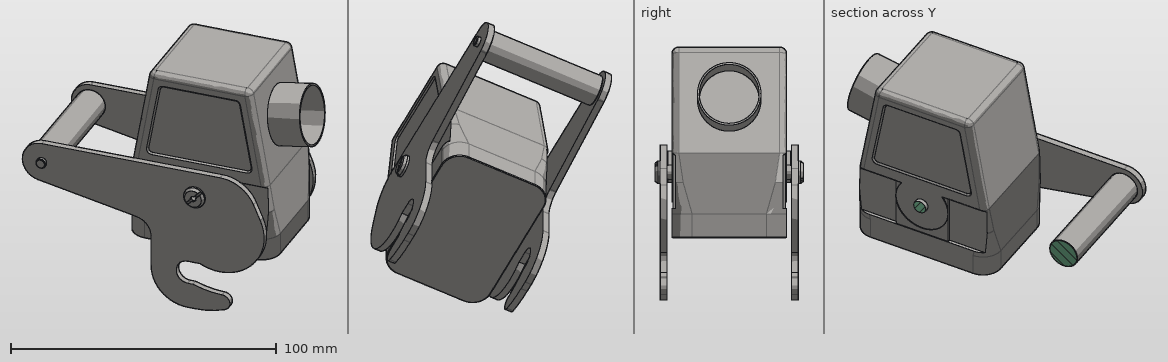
import cadquery as cq
import math


base_length = 59.7
waist_length = 55.4
crown_length = 41.3
hood_width = 43.2
base_bottom_z = -24.7
base_top_z = -15.7
shoulder_z = -3.9
waist_z = 7.2
crown_z = 47.1
base_corner_radius = 7.7
shoulder_corner_radius = 4.3
upper_corner_radius = 2.6
crown_round = 2.5
bottom_chamfer = 0.3

entry_diameter = 24.0
entry_bore_diameter = 22.5
entry_length = 13.9
entry_root_depth = 5.5
entry_mouth_x = 37.2
entry_mouth_z = 29.5
entry_tilt = math.degrees(math.atan2((waist_length - crown_length) / 2, crown_z - waist_z))

panel_top_z = 42.2
panel_bottom_z = 11.9
panel_top_length = 32.8
panel_bottom_length = 43.7
panel_depth = 0.7
panel_wall_angle = 45.0
panel_corner_radius = 2.2

recess_depth = 1.3
recess_bottom_z = -13.6
recess_draft_rise = 0.9
pad_height = 1.0
pivot_boss_diameter = 22.5

shank_diameter = 5.4
head_diameter = 8.5
screw_tip_y = 28.0
head_bevel_rise = 1.1
head_bevel_inset = 0.9
slot_width = 0.9
slot_depth = 1.0
slot_angle = 45.0
center_mark_diameter = 2.2
center_mark_depth = 1.1

plate_inner_y = 23.4
plate_thickness = 2.6
plate_outer_y = plate_inner_y + plate_thickness
pivot_hole_diameter = 5.6

handle_x = -62.1
handle_z = 2.1
handle_diameter = 12.0
handle_end_chamfer = 0.3
rivet_diameter = 3.9
rivet_tip_y = 27.5
rivet_chamfer = 0.3

handle_end_radius = 8.0
crest_x, crest_z, crest_radius = 10.3, -4.5, 14.8
belly_x, belly_z, belly_radius = 10.1, -12.1, 18.0
arm_slope = 10.8
hook_back_x = -17.8
elbow_radius = 7.2
hook_bottom_z = -48.1
heel_radius = 14.9
sole_radius = 33.9
sole_x = 0.4
tip_radius = 3.2
tip_x = 11.0
throat_x, throat_z, throat_radius = -2.8, -33.0, 4.7
throat_ramp_x = -0.8
throat_ramp_sag = 0.49


def rounded_section(section_z, length, corner_radius):
    """Horizontal outline of the hood at one height."""
    outline = cq.Sketch().rect(length, hood_width).vertices().fillet(corner_radius)
    return outline.moved(cq.Location(cq.Vector(0, 0, section_z)))


def hood_length_at(section_z):
    """Length of the tapered skirt between the base and the waist."""
    rise_fraction = (section_z - base_top_z) / (waist_z - base_top_z)
    return base_length + rise_fraction * (waist_length - base_length)


def hood_shell():
    base = cq.Workplane("XY").placeSketch(rounded_section(base_bottom_z, base_length, base_corner_radius))
    shell = base.extrude(base_top_z - base_bottom_z).faces("<Z").chamfer(bottom_chamfer)

    base_top = rounded_section(base_top_z, base_length, base_corner_radius)
    shoulder = rounded_section(shoulder_z, hood_length_at(shoulder_z), shoulder_corner_radius)
    waist = rounded_section(waist_z, waist_length, upper_corner_radius)
    crown = rounded_section(crown_z, crown_length, upper_corner_radius)
    for lower, upper in ((base_top, shoulder), (shoulder, waist)):
        shell = shell.union(cq.Workplane("XY").placeSketch(lower, upper).loft(ruled=True))
    top = cq.Workplane("XY").placeSketch(waist, crown).loft(ruled=True)
    return shell.union(top.faces(">Z").edges().fillet(crown_round))


def entry_plane():
    tilt = math.radians(entry_tilt)
    outward = (math.cos(tilt), 0, math.sin(tilt))
    return cq.Plane(origin=(entry_mouth_x, 0, entry_mouth_z), xDir=(0, 1, 0), normal=outward)


def entry_cylinder(diameter, length):
    return cq.Workplane(entry_plane()).circle(diameter / 2).extrude(-length)


def label_panel():
    """Pocket cutter on the -Y side, its walls sloping in towards the floor."""
    outline = (
        cq.Sketch()
        .polygon(
            [
                (-panel_bottom_length / 2, panel_bottom_z),
                (panel_bottom_length / 2, panel_bottom_z),
                (panel_top_length / 2, panel_top_z),
                (-panel_top_length / 2, panel_top_z),
                (-panel_bottom_length / 2, panel_bottom_z),
            ]
        )
        .vertices()
        .fillet(panel_corner_radius)
    )
    side = cq.Workplane("XZ", origin=(0, -hood_width / 2, 0))
    return side.placeSketch(outline).extrude(-panel_depth, taper=panel_wall_angle)


def lever_recess():
    """Cutter on the -Y side: a full-length recess with a sloping upper edge.

    A low rectangular pad stays in its middle, with the round pivot boss standing up to the hood side.
    """
    outer_y = -hood_width / 2
    floor_y = outer_y + recess_depth
    recess = (
        cq.Workplane("YZ", origin=(-base_length / 2, 0, 0))
        .moveTo(outer_y, recess_bottom_z)
        .lineTo(floor_y, recess_bottom_z)
        .lineTo(floor_y, waist_z - recess_draft_rise)
        .lineTo(outer_y, waist_z)
        .close()
        .extrude(base_length)
    )
    pad_center = (0, floor_y - pad_height / 2, (recess_bottom_z + waist_z) / 2)
    pad = cq.Workplane("XY", origin=pad_center).box(
        pivot_boss_diameter, pad_height, waist_z - recess_bottom_z
    )
    boss = cq.Workplane("XZ", origin=(0, outer_y, 0)).circle(pivot_boss_diameter / 2).extrude(-recess_depth)
    return recess.cut(pad).cut(boss)


def pivot_screw():
    """Slotted screw on the -Y side, its head against the lever plate."""
    shank = cq.Workplane("XZ", origin=(0, -hood_width / 2, 0)).circle(shank_diameter / 2)
    shank = shank.extrude(plate_outer_y - hood_width / 2)
    head = (
        cq.Workplane("XZ", origin=(0, -plate_outer_y, 0))
        .circle(head_diameter / 2)
        .extrude(screw_tip_y - plate_outer_y)
    )
    head = head.faces("<Y").chamfer(head_bevel_rise, head_bevel_inset)
    tip = cq.Workplane("XZ", origin=(0, -screw_tip_y, 0))
    slot = tip.transformed(rotate=(0, 0, slot_angle)).rect(head_diameter, slot_width).extrude(-slot_depth)
    mark = tip.circle(center_mark_diameter / 2).extrude(-slot_depth)
    mark_point = cq.Workplane(
        cq.Solid.makeCone(
            center_mark_diameter / 2,
            0,
            center_mark_depth,
            pnt=cq.Vector(0, slot_depth - screw_tip_y, 0),
            dir=cq.Vector(0, 1, 0),
        )
    )
    return shank.union(head).cut(slot).cut(mark).cut(mark_point)


def build_hood():
    hood = hood_shell()
    hood = hood.union(entry_cylinder(entry_diameter, entry_length + entry_root_depth))
    hood = hood.cut(entry_cylinder(entry_bore_diameter, entry_length))
    for turn in (0, 180):
        hood = hood.cut(label_panel().rotate((0, 0, 0), (0, 0, 1), turn))
        hood = hood.cut(lever_recess().rotate((0, 0, 0), (0, 0, 1), turn))
        hood = hood.union(pivot_screw().rotate((0, 0, 0), (0, 0, 1), turn))
    return hood


def on_circle(x, z, radius, degrees):
    angle = math.radians(degrees)
    return (x + radius * math.cos(angle), z + radius * math.sin(angle))


def tangent_normal(x1, z1, r1, x2, z2, r2):
    """Direction, in degrees, of the outward normal of the line touching two circles, running
    clockwise from the first to the second."""
    heading = math.degrees(math.atan2(z2 - z1, x2 - x1))
    return heading + math.degrees(math.acos((r1 - r2) / math.hypot(x2 - x1, z2 - z1)))


def lever_outline():
    end = (handle_x, handle_z, handle_end_radius)
    crest = (crest_x, crest_z, crest_radius)
    belly = (belly_x, belly_z, belly_radius)
    top_normal = tangent_normal(*end, *crest)
    nose_normal = tangent_normal(*crest, *belly)

    lip_z = throat_z + throat_radius
    belly_end = -180 - math.degrees(math.asin((lip_z - belly_z) / belly_radius))
    belly_mid = (nose_normal + belly_end) / 2

    sole_z = hook_bottom_z + sole_radius
    tip_z = sole_z - math.sqrt((sole_radius - tip_radius) ** 2 - (tip_x - sole_x) ** 2)
    sole_end = math.degrees(math.atan2(tip_z - sole_z, tip_x - sole_x))
    heel_x = hook_back_x + heel_radius
    heel_z = hook_bottom_z + heel_radius
    ramp_start = (throat_ramp_x, throat_z - throat_radius)
    ramp_end = on_circle(tip_x, tip_z, tip_radius, 90)
    ramp_mid = (
        (ramp_start[0] + ramp_end[0]) / 2,
        (ramp_start[1] + ramp_end[1]) / 2 - throat_ramp_sag,
    )

    under_normal = -90 - arm_slope
    under_start = on_circle(*end, under_normal)
    elbow_x = hook_back_x - elbow_radius
    elbow_normal = 90 - arm_slope
    elbow_start_x = elbow_x + elbow_radius * math.cos(math.radians(elbow_normal))
    elbow_start_z = under_start[1] - (elbow_start_x - under_start[0]) * math.tan(math.radians(arm_slope))
    elbow_z = elbow_start_z - elbow_radius * math.sin(math.radians(elbow_normal))
    elbow = (elbow_x, elbow_z, elbow_radius)

    return (
        cq.Workplane("XZ")
        .moveTo(*under_start)
        .threePointArc(on_circle(*end, 180), on_circle(*end, top_normal))
        .lineTo(*on_circle(*crest, top_normal))
        .threePointArc(on_circle(*crest, (top_normal + nose_normal) / 2), on_circle(*crest, nose_normal))
        .lineTo(*on_circle(*belly, nose_normal))
        .threePointArc(on_circle(*belly, belly_mid), on_circle(*belly, belly_end))
        .lineTo(throat_x, lip_z)
        .threePointArc((throat_x - throat_radius, throat_z), (throat_x, throat_z - throat_radius))
        .lineTo(*ramp_start)
        .threePointArc(ramp_mid, ramp_end)
        .threePointArc(on_circle(tip_x, tip_z, tip_radius, 0), on_circle(tip_x, tip_z, tip_radius, sole_end))
        .threePointArc(
            on_circle(sole_x, sole_z, sole_radius, (sole_end - 90) / 2), (sole_x, hook_bottom_z)
        )
        .lineTo(heel_x, hook_bottom_z)
        .threePointArc(on_circle(heel_x, heel_z, heel_radius, 225), (hook_back_x, heel_z))
        .lineTo(hook_back_x, elbow_z)
        .threePointArc(on_circle(*elbow, elbow_normal / 2), on_circle(*elbow, elbow_normal))
        .close()
    )


def centered_rod(diameter, half_length, end_chamfer):
    """Rod along Y through the handle axis, chamfered at both ends."""
    rod = cq.Workplane("XZ", origin=(handle_x, half_length, handle_z)).circle(diameter / 2)
    rod = rod.extrude(2 * half_length)
    return rod.faces("<Y or >Y").chamfer(end_chamfer)


def build_lever():
    plate = lever_outline().extrude(plate_thickness)
    plate = plate.cut(cq.Workplane("XZ").circle(pivot_hole_diameter / 2).extrude(plate_thickness))
    lever = centered_rod(handle_diameter, plate_inner_y, handle_end_chamfer)
    lever = lever.union(centered_rod(rivet_diameter, rivet_tip_y, rivet_chamfer))
    for plate_start_y in (-plate_inner_y, plate_outer_y):
        lever = lever.union(plate.translate((0, plate_start_y, 0)))
    return lever


hood = build_hood()
lever = build_lever()
result = cq.Compound.makeCompound([hood.val(), lever.val()])